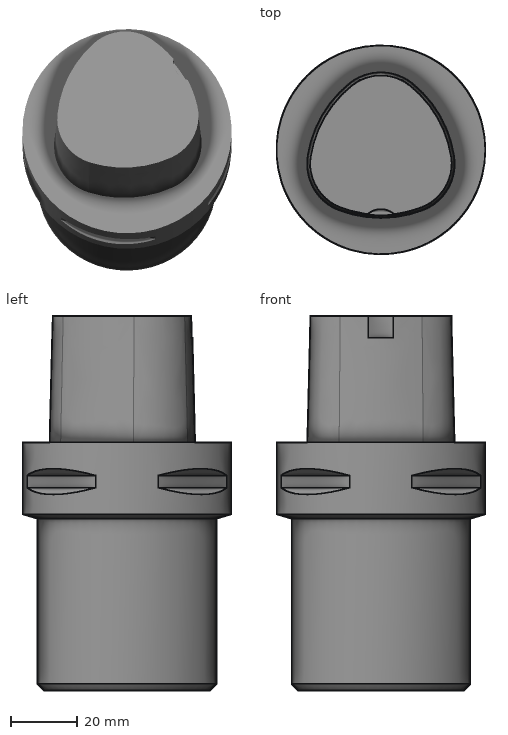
import cadquery as cq
import math

total_height = 113.0
flange_bottom = 51.9
flange_top = 74.9

body_diameter = 54.0
body_chamfer = 2.0

flange_diameter = 63.0
flange_cone_height = 1.4
flange_radius = flange_diameter / 2
body_radius = body_diameter / 2

groove_count = 4
groove_center_height = 63.0
groove_floor_distance = 27.9
groove_floor_height = 3.6
groove_side_angle = 30.0
groove_overrun = 2.3

lobe_count = 3
lobe_step = 360 / lobe_count
lobe_tip_distance = 23.4
flat_distance = 20.6
lobe_radius = 15.0
taper_ratio = 0.025

notch_radius = 5.8
notch_width = 7.6
notch_depth = 6.5
notch_center_y = -23.6


def polar_point(distance, angle):
    radians = math.radians(angle)
    return distance * math.cos(radians), distance * math.sin(radians)


def lobed_outline(height, inset):
    """Closed outline of alternating tangent lobe arcs and shallow side arcs."""
    tip = lobe_tip_distance - inset
    flat = flat_distance - inset
    radius = lobe_radius - inset
    lobe_offset = tip - radius

    gap = flat - radius
    side_offset = (lobe_offset**2 - gap**2) / (2 * gap - lobe_offset)

    half_step = math.radians(lobe_step / 2)
    lobe_across = lobe_offset * math.sin(half_step)
    lobe_along = lobe_offset * math.cos(half_step)
    side_half_angle = math.degrees(math.atan2(lobe_across, lobe_along + side_offset))

    def tangent_point(lobe_angle, normal_angle):
        center_x, center_y = polar_point(lobe_offset, lobe_angle)
        reach_x, reach_y = polar_point(radius, normal_angle)
        return center_x + reach_x, center_y + reach_y

    lobe_angles = [90 + i * lobe_step for i in range(lobe_count)]
    lobe_half_angle = lobe_step / 2 - side_half_angle
    first_angle = lobe_angles[0]
    outline = cq.Workplane("XY", origin=(0, 0, height)).moveTo(
        *tangent_point(first_angle, first_angle - lobe_half_angle)
    )
    for angle in lobe_angles:
        next_angle = angle + lobe_step
        outline = outline.threePointArc(
            polar_point(tip, angle), tangent_point(angle, angle + lobe_half_angle)
        )
        outline = outline.threePointArc(
            polar_point(flat, angle + lobe_step / 2),
            tangent_point(next_angle, next_angle - lobe_half_angle),
        )
    return outline.close().val()


def make_body_and_flange():
    profile = [
        (0, 0),
        (body_radius - body_chamfer, 0),
        (body_radius, body_chamfer),
        (body_radius, flange_bottom),
        (flange_radius, flange_bottom + flange_cone_height),
        (flange_radius, flange_top),
        (0, flange_top),
    ]
    return cq.Workplane("XZ").polyline(profile).close().revolve(360, (0, 0), (0, 1))


def make_shank():
    top_inset = taper_ratio * (total_height - flange_top)
    base = lobed_outline(flange_top, 0)
    top = lobed_outline(total_height, top_inset)
    return cq.Workplane(cq.Solid.makeLoft([base, top], True))


def make_groove_cutter():
    outer_distance = flange_radius + groove_overrun
    side_rise = (outer_distance - groove_floor_distance) * math.tan(math.radians(groove_side_angle))
    floor_half = groove_floor_height / 2
    outer_half = floor_half + side_rise
    section = [
        (groove_floor_distance, groove_center_height - floor_half),
        (outer_distance, groove_center_height - outer_half),
        (outer_distance, groove_center_height + outer_half),
        (groove_floor_distance, groove_center_height + floor_half),
    ]
    return cq.Workplane("XZ").polyline(section).close().extrude(flange_radius, both=True)


def make_notch_cutter():
    """Round-backed cutter trimmed to straight sides."""
    start = cq.Workplane("XY", origin=(0, notch_center_y, total_height))
    round_back = start.circle(notch_radius).extrude(-notch_depth)
    straight_sides = start.rect(notch_width, 2 * notch_radius).extrude(-notch_depth)
    return round_back.intersect(straight_sides)


result = make_body_and_flange().union(make_shank())

groove_step = 360 / groove_count
for index in range(groove_count):
    groove_angle = (index + 0.5) * groove_step
    result = result.cut(make_groove_cutter().rotate((0, 0, 0), (0, 0, 1), groove_angle))

result = result.cut(make_notch_cutter())